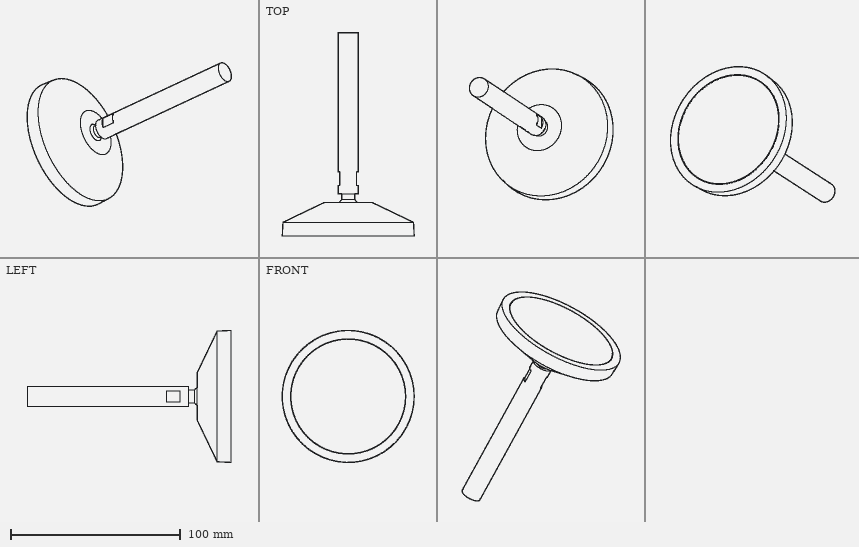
import cadquery as cq
import math


base_diameter = 78.0
rim_top_diameter = 77.2
crown_diameter = 28.0
rim_height = 8.2
base_height = 20.0

groove_outer_diameter = 68.0
groove_inner_diameter = 67.5
groove_depth = 1.0

total_length = 120.0
shaft_diameter = 12.0
neck_diameter = 7.8
neck_length = 5.0
shaft_start = base_height + neck_length

ball_radius = 6.0
ball_centre_height = 17.0
neck_start = ball_centre_height + math.sqrt(ball_radius**2 - (neck_diameter / 2) ** 2)

flat_width = 10.0
flat_length = 8.0
flat_start = shaft_start + 5.0


def make_ball():
    return cq.Workplane("XY").sphere(ball_radius).translate((0, ball_centre_height, 0))


def make_ring_groove():
    return (
        cq.Workplane("XZ")
        .circle(groove_outer_diameter / 2)
        .circle(groove_inner_diameter / 2)
        .extrude(-groove_depth)
    )


def make_base():
    body = (
        cq.Workplane("XY")
        .polyline(
            [
                (0, 0),
                (base_diameter / 2, 0),
                (rim_top_diameter / 2, rim_height),
                (crown_diameter / 2, base_height),
                (0, base_height),
            ]
        )
        .close()
        .revolve(360, (0, 0, 0), (0, 1, 0))
    )
    return body.cut(make_ring_groove()).cut(make_ball())


def make_wrench_flat_cut(side):
    cut_depth = shaft_diameter / 2
    return cq.Workplane("XY").box(cut_depth, flat_length, shaft_diameter).translate(
        (side * (flat_width + cut_depth) / 2, flat_start + flat_length / 2, 0)
    )


def make_spindle():
    ball_bottom = ball_centre_height - ball_radius
    body = (
        cq.Workplane("XY")
        .moveTo(0, ball_bottom)
        .threePointArc((ball_radius, ball_centre_height), (neck_diameter / 2, neck_start))
        .lineTo(neck_diameter / 2, shaft_start)
        .lineTo(shaft_diameter / 2, shaft_start)
        .lineTo(shaft_diameter / 2, total_length)
        .lineTo(0, total_length)
        .close()
        .revolve(360, (0, 0, 0), (0, 1, 0))
    )
    for side in (-1, 1):
        body = body.cut(make_wrench_flat_cut(side))
    return body


base = make_base()
spindle = make_spindle()

result = cq.Compound.makeCompound([*base.solids().vals(), *spindle.solids().vals()])